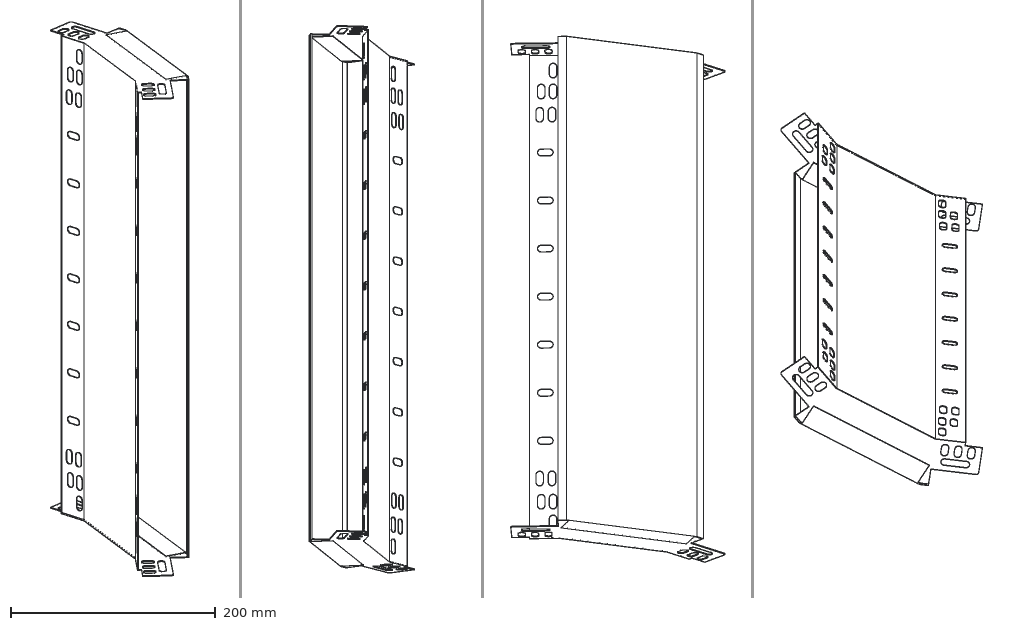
import cadquery as cq
import math

height = 503.0
channel_sheet = 1.0
cover_sheet = 1.5
bend_angle = 22.5
panel_half_width = 56.0
flange_width = 29.5
back_face_y = 52.0

wing_end = 47.0
wing_lower = 4.0
wing_upper = 34.0
wing_corner_radius = 2.5

cover_half_width = 68.0
tab_half_width = 65.5
tab_depth = 23.0

lengthwise = 0
upright = 90

slot_width = 7.0
upright_slot_length = 15.0
upright_slots = [(6.5, 16.5), (6.5, 38.0), (18.0, 38.0), (7.5, 62.5), (19.5, 62.5)]
cross_slot_length = 15.0
cross_slot_place = 14.0
cross_slot_count = 7
cross_slot_end_gap = 101.5
cross_slot_pitch = (height - 2 * cross_slot_end_gap) / (cross_slot_count - 1)

long_slot_length = 28.0
long_slot_place = (22.5, 24.5)
short_slot_length = 12.5
short_slot_first = 10.5
short_slot_pitch = 13.0
short_slot_count = 3
short_slot_away = 11.5

along_x = math.cos(math.radians(bend_angle))
along_y = -math.sin(math.radians(bend_angle))
miter_slope = math.tan(math.radians(bend_angle / 2))
channel_miter = channel_sheet * miter_slope
cover_miter = cover_sheet * miter_slope
cover_inner_y = back_face_y - cover_sheet
tab_front_y = back_face_y - tab_depth

lip_width = back_face_y * -along_y - (cover_half_width - panel_half_width) * along_x

cut_reach = 2 * channel_sheet


def flange_point(along, away):
    """XY point at a distance along the right flange from its fold, and away from its outer face."""
    x = panel_half_width + along * along_x - away * along_y
    y = along * along_y + away * along_x
    return (x, y)


def lip_point(along, depth):
    """XY point along the right lip from the cover's outer bend, and below its outer face."""
    x = cover_half_width + along * along_x + depth * along_y
    y = back_face_y + along * along_y - depth * along_x
    return (x, y)


def mirrored_outline(right_points):
    """Closed outline from the points of its right half and their mirror images."""
    left_points = [(-x, y) for x, y in reversed(right_points)]
    return cq.Workplane("XY").polyline(right_points + left_points).close()


def with_mirror(shape):
    """A right-hand shape together with its left-hand copy."""
    return shape.union(shape.mirror("YZ"))


def full_height(outline):
    """An outline extruded over the whole height of the part."""
    return outline.extrude(height).translate((0, 0, -height / 2))


def at_both_ends(plate, thickness):
    """A plate extruded up from Z = 0, placed flush with the top and the bottom of the part."""
    top = plate.translate((0, 0, height / 2 - thickness))
    return top.union(top.mirror("XY"))


def flange_slot(along, z, length, turn):
    """Cutter for a slot through the right flange."""
    x, y = flange_point(along, 0)
    plane = cq.Plane(origin=(x, y, z), xDir=(along_x, along_y, 0), normal=(along_y, -along_x, 0))
    return cq.Workplane(plane).slot2D(length, slot_width, turn).extrude(cut_reach, both=True)


def flange_slots():
    """Cutters for all the slots of the right flange."""
    cutters = cq.Workplane("XY")
    for along, drop in upright_slots:
        for end in (1, -1):
            z = end * (height / 2 - drop)
            cutters = cutters.add(flange_slot(along, z, upright_slot_length, upright))
    for i in range(cross_slot_count):
        z = (i - (cross_slot_count - 1) / 2) * cross_slot_pitch
        cutters = cutters.add(flange_slot(cross_slot_place, z, cross_slot_length, lengthwise))
    return cutters.combine()


def wing_slot(along, away, length, turn):
    """Cutter for a slot through a right wing whose underside is on Z = 0."""
    x, y = flange_point(along, away)
    slot = cq.Workplane("XY").slot2D(length, slot_width, turn - bend_angle).extrude(channel_sheet)
    return slot.translate((x, y, 0))


def wing():
    """Right wing of an end plate."""
    plate = (
        cq.Workplane("XY")
        .polyline([
            flange_point(0, 0),
            flange_point(flange_width, 0),
            flange_point(flange_width, wing_lower),
            flange_point(wing_end, wing_lower),
            flange_point(wing_end, wing_upper),
            flange_point(0, wing_upper),
        ])
        .close()
        .extrude(channel_sheet)
    )
    corner = cq.selectors.NearestToPointSelector((*flange_point(wing_end, wing_upper), channel_sheet / 2))
    plate = plate.edges("|Z").edges(corner).fillet(wing_corner_radius)
    plate = plate.cut(wing_slot(*long_slot_place, long_slot_length, lengthwise))
    for i in range(short_slot_count):
        along = short_slot_first + i * short_slot_pitch
        plate = plate.cut(wing_slot(along, short_slot_away, short_slot_length, upright))
    return plate


def end_plate():
    """Channel end plate on Z = 0, reaching back to the cover and leaving room for the cover's tab."""
    middle = mirrored_outline([
        (panel_half_width, 0),
        lip_point(lip_width, cover_sheet),
        (cover_half_width - cover_miter, cover_inner_y),
        (tab_half_width, cover_inner_y),
        (tab_half_width, tab_front_y),
    ]).extrude(channel_sheet)
    return middle.union(with_mirror(wing()))


def make_channel():
    """Front panel with slotted side flanges and a slotted plate closing each end."""
    profile = mirrored_outline([
        (panel_half_width, 0),
        flange_point(flange_width, 0),
        flange_point(flange_width, channel_sheet),
        (panel_half_width + channel_miter, channel_sheet),
    ])
    cutters = with_mirror(flange_slots())
    return full_height(profile).union(at_both_ends(end_plate(), channel_sheet)).cut(cutters)


def make_cover():
    """Back panel with slanted lips and a tab set into each end plate."""
    profile = mirrored_outline([
        (cover_half_width, back_face_y),
        lip_point(lip_width, 0),
        lip_point(lip_width, cover_sheet),
        (cover_half_width - cover_miter, cover_inner_y),
    ])
    tab = (
        cq.Workplane("XY")
        .rect(2 * tab_half_width, tab_depth)
        .extrude(cover_sheet)
        .translate((0, back_face_y - tab_depth / 2, 0))
    )
    return full_height(profile).union(at_both_ends(tab, cover_sheet))


channel = make_channel()
cover = make_cover()
result = cq.Compound.makeCompound([channel.val(), cover.val()])